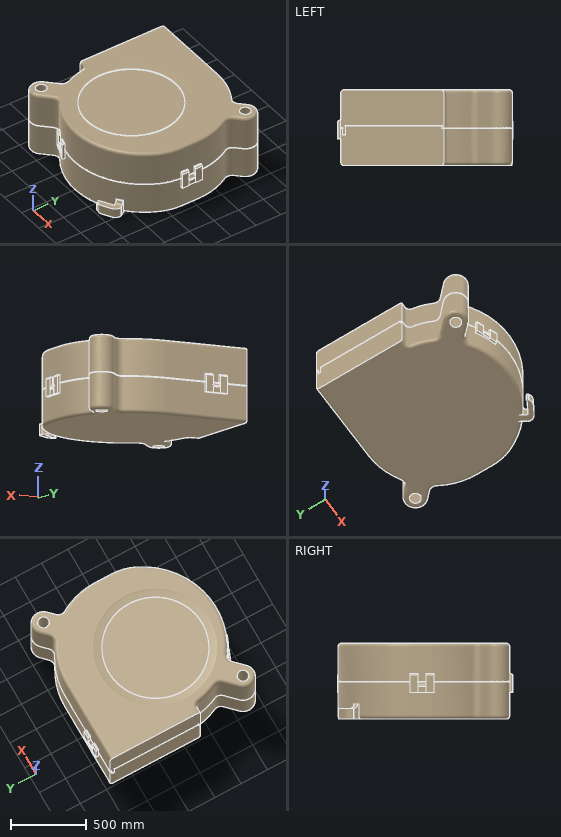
import cadquery as cq
import math

side = 1141.0
height = 506.0
rounding_slack = 0.1
rim_fillet = 23.0
inlet_center = (543.0, 494.0)
outlet_edge = 456.0
outlet_root_fillet = 37.0
corner_center = 621.0
scroll_radius = 564.0
side_radius = 395.0

lug_radius = 84.0
lug_hole_diameter = 77.0
lug_length = 232.0
lug_root_fillet = 51.0

lip_radius = 413.0
lip_inner_radius = 399.0
lip_drop = 2.0
disc_radius = 356.0
cone_drop = 7.0
disc_drop = 13.0

seam_height = 248.0
seam_gap = 3.0
skirt = 13.0
plug_rise = 17.0
tongue_width = 19.0
tongue_drop = 44.0

clip_width = 160.0
clip_reach = 20.0
clip_bottom = 179.0
clip_top = 305.0
clip_chamfer = 10.0
clip_sink = 23.0
ledge_low = 219.0
ledge_high = 227.0
ledge_overhang = 3.0
top_clip_center = 240.0
side_clip_center = 558.0
scroll_clip_angle = 247.8

hook_angle = -60.0
hook_tip = -60.0
hook_end = 110.0
stem_start = 58.0
stem_end = 108.0
arm_offset = 29.0
arm_thickness = 41.0
arm_height = 72.0
arm_rounding = 48.0
stem_sink = 35.0
nub_radius = 9.0
nub_height = 44.0


def polar(center, radius, angle):
    turn = math.radians(angle)
    return (center[0] + radius * math.cos(turn), center[1] + radius * math.sin(turn))


side_center = (side - side_radius, inlet_center[1])
blend_rise = scroll_radius - inlet_center[1]
blend_angle = -math.degrees(math.asin(blend_rise / (scroll_radius - side_radius)))
blend_run = (scroll_radius - side_radius) * math.cos(math.radians(blend_angle))
scroll_center = (side_center[0] - blend_run, scroll_radius)
inner_radius = scroll_radius - math.dist(scroll_center, inlet_center)
inner_start = 180 + math.degrees(
    math.atan2(scroll_center[1] - inlet_center[1], scroll_center[0] - inlet_center[0])
)


def core(bottom, thickness, inset=0.0):
    """Volute without lugs; every side but the outlet face moves inwards by the inset."""
    far = side - inset
    corner = (corner_center, corner_center)
    corner_radius = far - corner_center
    narrow = inner_radius - inset
    wide = scroll_radius - inset
    tight = side_radius - inset
    outlet_y = outlet_edge + inset
    outlet_angle = 180 + math.degrees(math.asin((inlet_center[1] - outlet_y) / narrow))
    return (
        cq.Workplane("XY", origin=(0, 0, bottom))
        .moveTo(0, far)
        .lineTo(corner_center, far)
        .threePointArc(polar(corner, corner_radius, 45), (far, corner_center))
        .lineTo(far, inlet_center[1])
        .threePointArc(polar(side_center, tight, blend_angle / 2), polar(side_center, tight, blend_angle))
        .threePointArc((scroll_center[0], scroll_center[1] - wide), polar(scroll_center, wide, inner_start))
        .threePointArc(
            polar(inlet_center, narrow, (inner_start + outlet_angle) / 2),
            polar(inlet_center, narrow, outlet_angle),
        )
        .lineTo(0, outlet_y)
        .close()
        .extrude(thickness)
    )


far_lug = side - lug_radius
lug_places = [((lug_radius, lug_radius), 45), ((far_lug, far_lug), 225)]


def lug(center, angle):
    """Round-ended arm that runs from its hole into the case."""
    arm = cq.Workplane("XY").center(lug_length / 2, 0).rect(lug_length, 2 * lug_radius).extrude(height)
    end = cq.Workplane("XY").circle(lug_radius).extrude(height)
    return arm.union(end).rotate((0, 0, 0), (0, 0, 1), angle).translate((*center, 0))


def is_lug_root(edge):
    """True for the upright edges where a lug side meets the scroll wall."""
    middle = edge.Center()
    distances = [math.dist((middle.x, middle.y), center) for center, _ in lug_places]
    return lug_radius + lug_root_fillet / 2 < min(distances) < lug_length


def is_off_outlet(edge):
    """True for edges outside the flat outlet face at X = 0, whose own edges stay sharp."""
    return edge.Center().x > rounding_slack


def make_case():
    """Whole outer shape of the closed housing, with lugs, rounded rims and lug holes."""
    case = core(0, height)
    outlet_root = (inlet_center[0] - inner_radius, outlet_edge, height / 2)
    case = case.edges(cq.selectors.NearestToPointSelector(outlet_root)).fillet(outlet_root_fillet)
    for center, angle in lug_places:
        case = case.union(lug(center, angle))
    case = case.edges("|Z").filter(is_lug_root).fillet(lug_root_fillet)
    for face in (">Z", "<Z"):
        case = case.faces(face).edges().filter(is_off_outlet).fillet(rim_fillet)
    centers = [center for center, _ in lug_places]
    holes = cq.Workplane("XY").pushPoints(centers).circle(lug_hole_diameter / 2).extrude(height)
    return case.cut(holes)


def inlet_recess():
    """Funnel-shaped recess with the closing disc as its floor."""
    return (
        cq.Workplane("XZ")
        .moveTo(0, 0)
        .lineTo(lip_radius, 0)
        .lineTo(lip_inner_radius, -lip_drop)
        .lineTo(disc_radius, -cone_drop)
        .lineTo(disc_radius, -disc_drop)
        .lineTo(0, -disc_drop)
        .close()
        .revolve(360, (0, 0, 0), (0, 1, 0))
        .translate((*inlet_center, height))
    )


def base_space(lift):
    """Space below the parting joint: outer wall, raised plug and a groove along the +Y wall."""
    seam = seam_height + lift
    below = cq.Workplane("XY").box(side, side, seam, centered=False)
    plug = core(seam, plug_rise, skirt)
    groove = cq.Workplane("XY").box(
        corner_center, tongue_width, tongue_drop + plug_rise, centered=False
    ).translate((0, side - skirt - tongue_width, seam - tongue_drop))
    return below.union(plug).cut(groove)


def clip():
    """Two upright prongs and a ledge between them; the wall lies at Y = 0 and +Y points outwards."""
    profile = (
        cq.Workplane("YZ")
        .moveTo(-clip_sink, clip_bottom)
        .lineTo(clip_reach, clip_bottom)
        .lineTo(clip_reach, clip_top - clip_chamfer)
        .lineTo(clip_reach - clip_chamfer, clip_top)
        .lineTo(-clip_sink, clip_top)
        .close()
        .extrude(clip_width / 2, both=True)
    )
    ledge = clip_reach - ledge_overhang
    notch = (
        cq.Workplane("YZ")
        .moveTo(-clip_sink, clip_top)
        .lineTo(-clip_sink, seam_height)
        .lineTo(0, seam_height)
        .lineTo(clip_reach, ledge_high)
        .lineTo(clip_reach, ledge_low)
        .lineTo(ledge, ledge_low)
        .lineTo(ledge, clip_bottom)
        .lineTo(2 * clip_reach, clip_bottom)
        .lineTo(2 * clip_reach, clip_top)
        .close()
        .extrude(clip_width / 6, both=True)
    )
    return profile.cut(notch)


def place(body, point, direction):
    """Turn a body that faces +Y to face the direction, then move it to the point."""
    return body.rotate((0, 0, 0), (0, 0, 1), direction - 90).translate((*point, 0))


def hook():
    """Cable hook; the scroll wall lies at Y = 0 and +Y points outwards."""
    outer = arm_offset + arm_thickness
    end_radius = (arm_rounding**2 + arm_thickness**2) / (2 * arm_thickness)
    arm = (
        cq.Workplane("XY")
        .moveTo(-hook_end, arm_offset)
        .lineTo(-hook_tip, arm_offset)
        .radiusArc((-hook_tip - arm_rounding, outer), -end_radius)
        .lineTo(-hook_end + arm_rounding, outer)
        .radiusArc((-hook_end, arm_offset), -end_radius)
        .close()
        .extrude(arm_height)
    )
    stem_height = arm_height + arm_offset
    stem = (
        cq.Workplane("YZ", origin=(-stem_end, 0, 0))
        .moveTo(-stem_sink, 0)
        .lineTo(arm_offset, 0)
        .lineTo(arm_offset, arm_height)
        .radiusArc((0, stem_height), arm_offset)
        .lineTo(-stem_sink, stem_height)
        .close()
        .extrude(stem_end - stem_start)
    )
    nub = cq.Workplane("XY").center(-hook_tip, arm_offset + nub_radius / 2).circle(nub_radius)
    nub = nub.extrude(nub_height)
    return arm.union(stem).union(nub)


case = make_case()
clip_seat = math.sqrt(scroll_radius**2 - (clip_width / 2) ** 2)
clip_places = [
    ((top_clip_center, side), 90),
    ((side, side_clip_center), 0),
    (polar(scroll_center, clip_seat, scroll_clip_angle), scroll_clip_angle),
]

base = case.intersect(base_space(0))
for point, direction in clip_places:
    base = base.union(place(clip(), point, direction).cut(case))
base = base.union(place(hook(), polar(scroll_center, scroll_radius, hook_angle), hook_angle))

cover = case.cut(base_space(seam_gap)).cut(inlet_recess())

result = cq.Compound.makeCompound([base.solids().val(), cover.solids().val()])